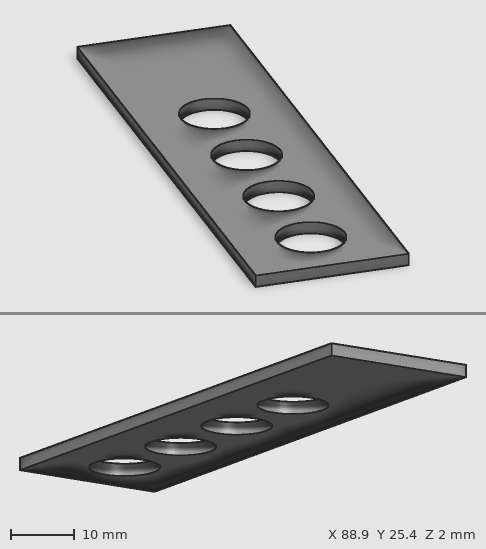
import cadquery as cq

plate_length = 88.9
plate_width = 25.4
plate_thickness = 2.0

hole_diameter = 11.18
hole_count = 4
hole_pitch = 16.0
last_hole_to_end = 10.67


def make_plate():
    """Flat rectangular plate centred in X and Y, resting on Z = 0."""
    return cq.Workplane("XY").box(
        plate_length, plate_width, plate_thickness, centered=(True, True, False)
    )


def hole_centres():
    """Hole centres, counted from the +X end of the plate."""
    last_hole_x = plate_length / 2 - last_hole_to_end
    return [(last_hole_x - i * hole_pitch, 0) for i in range(hole_count)]


def cut_holes(plate):
    """Drill the row of holes through the full thickness."""
    return plate.faces(">Z").workplane(origin=(0, 0, 0)).pushPoints(hole_centres()).hole(hole_diameter)


result = cut_holes(make_plate())